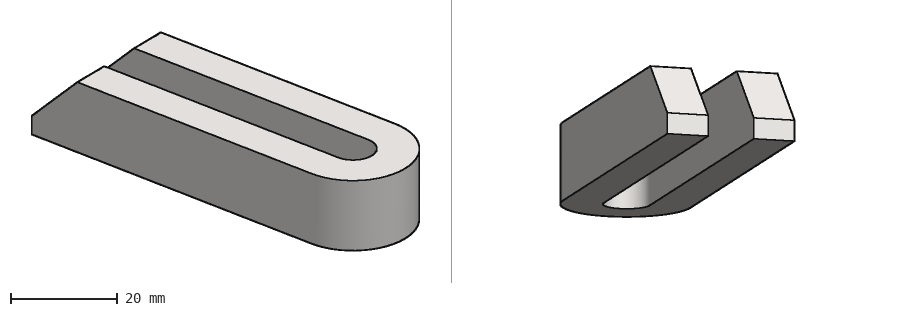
import cadquery as cq

length = 80.0
arm_width = 8.0
slot_width = 9.0
height = 15.0
nose_height = 4.0

width = slot_width + 2 * arm_width
outer_radius = width / 2
slot_radius = slot_width / 2
bend_center_x = length - outer_radius
bevel = height - nose_height


def round_ended_bar(radius):
    """Full-height bar from X = 0 with a half-round end about the bend center."""
    return (
        cq.Workplane("XY")
        .moveTo(0, -radius)
        .lineTo(bend_center_x, -radius)
        .threePointArc((bend_center_x + radius, 0), (bend_center_x, radius))
        .lineTo(0, radius)
        .close()
        .extrude(height)
    )


def nose_bevel():
    """Wedge removed from the top of both arm tips."""
    return (
        cq.Workplane("XZ")
        .moveTo(0, nose_height)
        .lineTo(bevel, height)
        .lineTo(0, height)
        .close()
        .extrude(outer_radius, both=True)
    )


result = round_ended_bar(outer_radius).cut(round_ended_bar(slot_radius)).cut(nose_bevel())